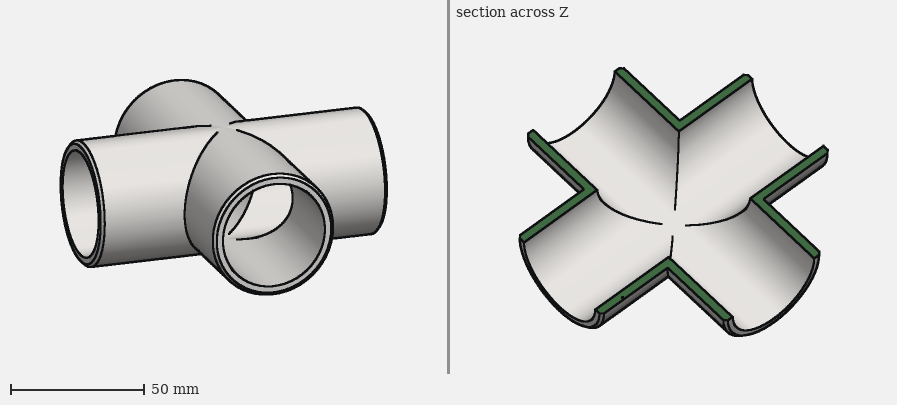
import cadquery as cq

overall_length = 114.0
outer_diameter = 48.0
bore_diameter = 40.65
end_chamfer = 1.2


def centred_cylinder(plane, diameter, length):
    """Cylinder along the plane's normal, centred on the origin."""
    return cq.Workplane(plane).circle(diameter / 2).extrude(length / 2, both=True)


def chamfered_run(plane, axis):
    """Solid outer run with a bevel around each open end."""
    run = centred_cylinder(plane, outer_diameter, overall_length)
    return run.faces(f"<{axis} or >{axis}").chamfer(end_chamfer)


def cross_body():
    """Outer shape, with mitred joints where the two runs meet."""
    return chamfered_run("YZ", "X").union(chamfered_run("XZ", "Y"))


def cross_bores():
    """Through bores of both runs."""
    bore_x = centred_cylinder("YZ", bore_diameter, overall_length)
    bore_y = centred_cylinder("XZ", bore_diameter, overall_length)
    return bore_x.union(bore_y)


result = cross_body().cut(cross_bores())